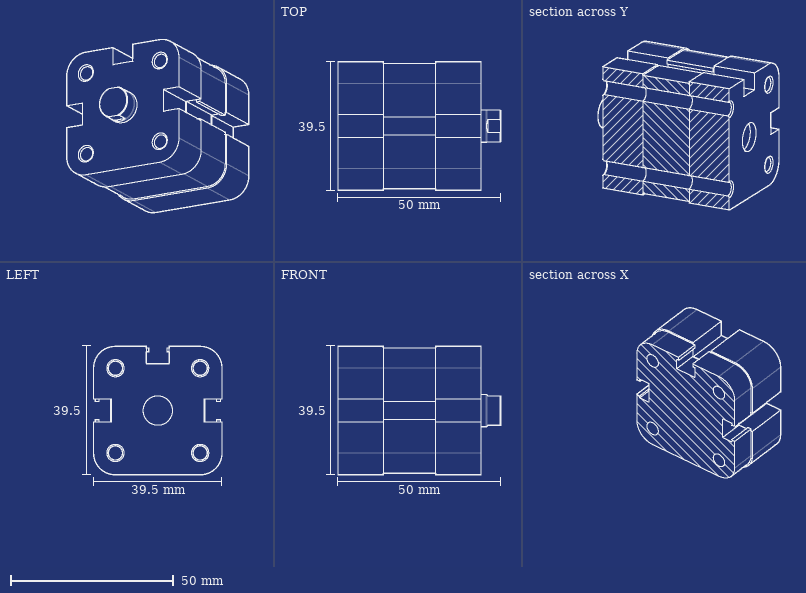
import cadquery as cq

total_length = 50.0
cap_length = 14.0
barrel_length = 16.0
barrel_start = cap_length
barrel_end = barrel_start + barrel_length

cap_size = 39.5
barrel_inset = 0.5
barrel_size = cap_size - 2 * barrel_inset

hole_spacing = 26.0
hole_diameter = 4.3
hole_chamfer = 0.5
cap_corner_radius = (cap_size - hole_spacing) / 2
barrel_corner_radius = cap_corner_radius - barrel_inset

slot_width = 7.0
cap_slot_floor = 14.25
barrel_slot_floor = 14.5
slot_mouth_width = 5.5
lip_thickness = 1.25
slot_angles = (0, 90, -90)

recess_diameter = 9.0
recess_depth = 2.0

journal_diameter = 10.0
journal_end = 45.5
taper_length = 0.2
tip_start = journal_end + taper_length
tip_diameter = 9.9
tip_chamfer = 0.2
flat_spacing = 9.05
flat_start = 46.05


def section_plane(x):
    """Plane across the axis at x, with local axes along Y and Z."""
    return cq.Workplane("YZ", origin=(x, 0, 0))


def rounded_block(x, length, size, corner_radius):
    return section_plane(x).rect(size, size).extrude(length).edges("|X").fillet(corner_radius)


def slot_cutters(x, length, width, floor, top):
    """Channels of one width between two distances from the axis, one for each slotted side."""
    channel = section_plane(x).center(0, (floor + top) / 2).rect(width, top - floor).extrude(length)
    cutters = cq.Workplane("YZ")
    for angle in slot_angles:
        cutters = cutters.add(channel.rotate((0, 0, 0), (1, 0, 0), angle))
    return cutters.combine()


def cut_screw_holes(body, x, length):
    holes = section_plane(x).rect(hole_spacing, hole_spacing, forConstruction=True).vertices()
    return body.cut(holes.circle(hole_diameter / 2).extrude(length))


def make_cap(x, outer_face):
    """End cap with open slots and screw holes chamfered on its outer face ("<X" or ">X")."""
    cap = rounded_block(x, cap_length, cap_size, cap_corner_radius)
    cap = cap.cut(slot_cutters(x, cap_length, slot_width, cap_slot_floor, cap_size / 2))
    cap = cut_screw_holes(cap, x, cap_length)
    hole_rims = cap.faces(outer_face).edges("%CIRCLE").edges(cq.selectors.RadiusNthSelector(0))
    return hole_rims.chamfer(hole_chamfer)


def make_rear_cap():
    recess = section_plane(0).circle(recess_diameter / 2).extrude(recess_depth)
    return make_cap(0, "<X").cut(recess)


def make_barrel():
    """Body between the caps, with slots narrowed at the mouth by two lips."""
    half_size = barrel_size / 2
    barrel = rounded_block(barrel_start, barrel_length, barrel_size, barrel_corner_radius)
    barrel = barrel.cut(
        slot_cutters(barrel_start, barrel_length, slot_width, barrel_slot_floor, half_size - lip_thickness)
    )
    barrel = barrel.cut(
        slot_cutters(barrel_start, barrel_length, slot_mouth_width, barrel_slot_floor, half_size)
    )
    return cut_screw_holes(barrel, barrel_start, barrel_length)


def make_front_cap():
    rod_bore = section_plane(barrel_end).circle(journal_diameter / 2).extrude(cap_length)
    return make_cap(barrel_end, ">X").cut(rod_bore)


def make_flat_cutter():
    """Wedge that leaves the upper wrench flat, with a 45 degree run-out at its inner end."""
    flat_height = flat_spacing / 2
    cut_height = journal_diameter / 2
    flat_depth = cut_height - flat_height
    profile = [
        (flat_start, flat_height),
        (flat_start - flat_depth, cut_height),
        (total_length, cut_height),
        (total_length, flat_height),
    ]
    return cq.Workplane("XZ").polyline(profile).close().extrude(journal_diameter / 2, both=True)


def make_rod():
    """Round rod from the barrel face through the front cap, with flats facing up and down."""
    journal_radius = journal_diameter / 2
    tip_radius = tip_diameter / 2
    half_profile = [
        (barrel_end, 0),
        (barrel_end, journal_radius),
        (journal_end, journal_radius),
        (tip_start, tip_radius),
        (total_length - tip_chamfer, tip_radius),
        (total_length, tip_radius - tip_chamfer),
        (total_length, 0),
    ]
    rod = cq.Workplane("XZ").polyline(half_profile).close().revolve(360, (0, 0, 0), (1, 0, 0))
    upper_cutter = make_flat_cutter()
    lower_cutter = upper_cutter.mirror("XY")
    return rod.cut(upper_cutter).cut(lower_cutter)


rear_cap = make_rear_cap()
barrel = make_barrel()
front_cap = make_front_cap()
rod = make_rod()

result = cq.Compound.makeCompound([rear_cap.val(), barrel.val(), front_cap.val(), rod.val()])